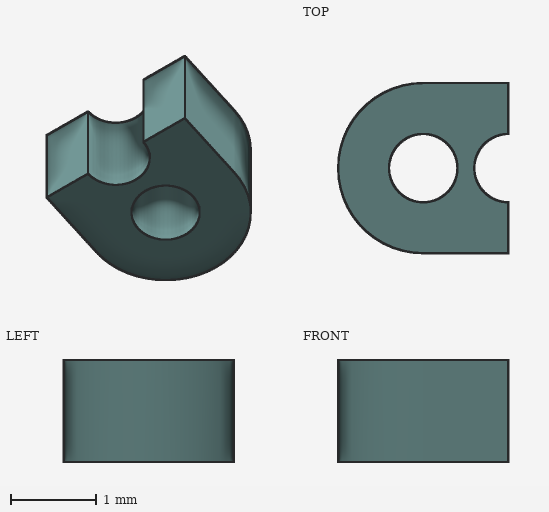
import cadquery as cq

width = 2.0
height = 1.2
hole_diameter = 0.8

end_radius = width / 2
straight_length = 1.0
hole_radius = hole_diameter / 2


def make_body():
    """D-shaped block: a half-round end on -X and a flat face on +X."""
    return (
        cq.Workplane("XY")
        .moveTo(straight_length, -end_radius)
        .lineTo(straight_length, end_radius)
        .lineTo(0, end_radius)
        .threePointArc((-end_radius, 0), (0, -end_radius))
        .close()
        .extrude(height)
    )


def make_bore(center_x):
    """Cylinder along Z, through the full height, to be cut from the body."""
    return cq.Workplane("XY").center(center_x, 0).circle(hole_radius).extrude(height)


result = make_body()
for bore_x in (0, straight_length):
    result = result.cut(make_bore(bore_x))